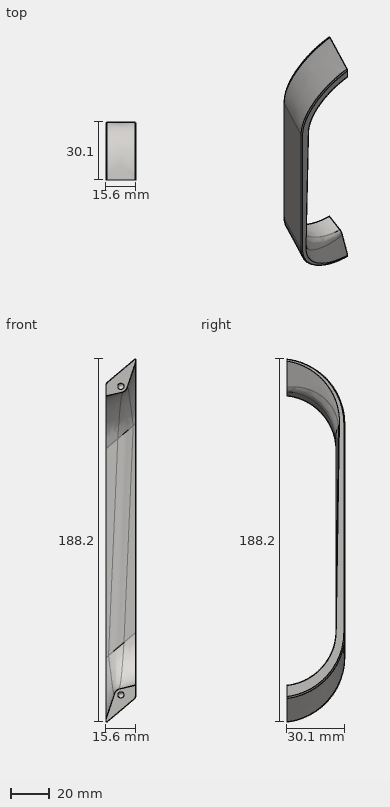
import cadquery as cq
import math

width = 15.6
reach = 30.1
length = 188.2

end_slope_drop = 13.2
bend_radius = 34.0
bend_center_y = reach - bend_radius
foot_angle = math.acos(-bend_center_y / bend_radius)
edge_chamfer = 0.5
tip_loss = edge_chamfer * end_slope_drop / width
bend_center_z = length + tip_loss - bend_radius * math.sin(foot_angle)
bend_steps = 10
foot_overrun = math.radians(8)

foot_thick_side = 6.4
foot_ridge = 13.0
foot_thin_side = 1.5
grip_thick_side = 4.5
grip_ridge = 4.9
grip_thin_side = 2.8
ridge_x = 10.4
foot_ridge_round = 1.5
grip_ridge_round = 4.1

hole_diameter = 3.2
hole_depth = 9.5
hole_x = width / 2
hole_z = 174.1
drill_half_angle = math.radians(59)
drill_tip_height = hole_diameter / 2 / math.tan(drill_half_angle)


def blend(start, end, fraction):
    return start + (end - start) * fraction


def toward(start, end, distance):
    """Point at a distance from start on the line to end."""
    fraction = distance / math.dist(start, end)
    return tuple(blend(a, b, fraction) for a, b in zip(start, end))


def section(left_depth, ridge_depth, right_depth, ridge_round, place, ridge_at=ridge_x):
    """Closed wire of a cross section; place maps (x, depth) to a point in space."""
    left_corner = (0, left_depth)
    ridge_corner = (ridge_at, ridge_depth)
    right_corner = (width, right_depth)
    round_start = toward(ridge_corner, left_corner, ridge_round)
    round_end = toward(ridge_corner, right_corner, ridge_round)
    round_middle = tuple((a + 2 * b + c) / 4 for a, b, c in zip(round_start, ridge_corner, round_end))
    outline = [
        round_end,
        right_corner,
        (width, edge_chamfer),
        (width - edge_chamfer, 0),
        (edge_chamfer, 0),
        (0, edge_chamfer),
        left_corner,
        round_start,
    ]
    points = [cq.Vector(*place(*point)) for point in outline]
    edges = [cq.Edge.makeLine(a, b) for a, b in zip(points, points[1:])]
    middle = cq.Vector(*place(*round_middle))
    edges.append(cq.Edge.makeThreePointArc(points[-1], middle, points[0]))
    return cq.Wire.assembleEdges(edges)


def bend_section(angle):
    """Cross section at an angle around the upper bend, zero at the grip."""
    fraction = angle / foot_angle

    def place(x, depth):
        radius = bend_radius - depth
        center_z = bend_center_z - end_slope_drop * (1 - x / width)
        return (x, bend_center_y + radius * math.cos(angle), center_z + radius * math.sin(angle))

    return section(
        blend(grip_thick_side, foot_thick_side, fraction),
        blend(grip_ridge, foot_ridge, fraction),
        blend(grip_thin_side, foot_thin_side, fraction),
        blend(grip_ridge_round, foot_ridge_round, fraction),
        place,
    )


def half_turn(shape):
    """Turn a shape half a turn about the handle's central Y axis."""
    center = (width / 2, 0, length / 2)
    return shape.rotate(center, (width / 2, 1, length / 2), 180)


def make_bend():
    last_angle = foot_angle + foot_overrun
    angles = [last_angle * step / bend_steps for step in range(bend_steps + 1)]
    bend = cq.Workplane(cq.Solid.makeLoft([bend_section(angle) for angle in angles]))
    keep = cq.Workplane().box(2 * width, reach, 2 * length, centered=(True, False, True))
    return bend.intersect(keep)


def make_grip():
    """Straight grip, tapering between the upper bend and its half-turned twin."""
    upper = bend_section(0)

    def place(x, depth):
        return (x, reach - depth, length - bend_center_z + end_slope_drop * x / width)

    lower = section(grip_thin_side, grip_ridge, grip_thick_side, grip_ridge_round, place, width - ridge_x)
    return cq.Workplane(cq.Solid.makeLoft([lower, upper], True))


def make_hole():
    """Blind screw hole with a drill tip, opening on the upper foot."""
    radius = hole_diameter / 2
    profile = (
        cq.Workplane("XY")
        .polyline([(0, 0), (radius, 0), (radius, hole_depth), (0, hole_depth + drill_tip_height)])
        .close()
    )
    return profile.revolve(360, (0, 0, 0), (0, 1, 0)).translate((hole_x, 0, hole_z))


upper_bend = make_bend()
upper_hole = make_hole()
handle = make_grip().union(upper_bend).union(half_turn(upper_bend))
result = handle.cut(upper_hole).cut(half_turn(upper_hole))